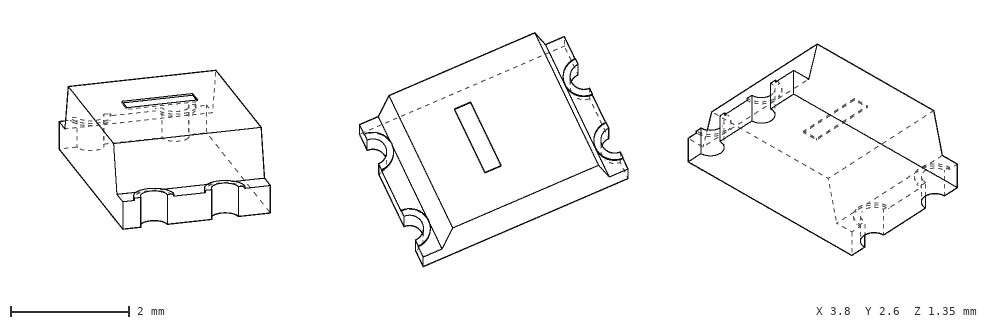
import cadquery as cq

length = 3.8
width = 2.6
base_height = 0.5

total_height = 1.35
body_bottom_length = 3.1
body_top_length = 2.705

hole_radius = 0.23
rim_radius = 0.35
rim_height = 0.04
contact_offset = 0.75
shifted_contact_offset = 0.5
contact_points = [
    (-length / 2, contact_offset),
    (-length / 2, -contact_offset),
    (length / 2, shifted_contact_offset),
    (length / 2, -contact_offset),
]

mark_length = 0.3
mark_width = 1.245
mark_depth = 0.03
mark_x = -0.295


def make_base():
    return cq.Workplane("XY").box(length, width, base_height, centered=(True, True, False))


def make_body():
    return (
        cq.Workplane("XZ")
        .polyline([
            (-body_bottom_length / 2, base_height),
            (body_bottom_length / 2, base_height),
            (body_top_length / 2, total_height),
            (-body_top_length / 2, total_height),
        ])
        .close()
        .extrude(width / 2, both=True)
    )


def make_rims():
    discs = (
        cq.Workplane("XY", origin=(0, 0, base_height))
        .pushPoints(contact_points)
        .circle(rim_radius)
        .extrude(rim_height)
    )
    envelope = cq.Workplane("XY").box(length, width, total_height, centered=(True, True, False))
    return discs.intersect(envelope)


def make_contact_holes():
    return cq.Workplane("XY").pushPoints(contact_points).circle(hole_radius).extrude(total_height)


def make_mark():
    return (
        cq.Workplane("XY", origin=(mark_x, 0, total_height))
        .rect(mark_length, mark_width)
        .extrude(-mark_depth)
    )


result = (
    make_base()
    .union(make_body())
    .union(make_rims())
    .cut(make_contact_holes())
    .cut(make_mark())
)